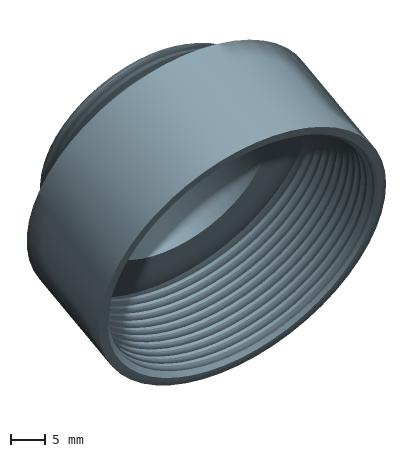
import cadquery as cq

total_length = 27.5
neck_length = 8.0
flange_diameter = 50.0

pitch = 1.6
thread_crest_width = 0.1
root_overlap = 0.1

male_root_diameter = 35.3
male_crest_diameter = 36.9
male_base_width = 1.0
male_thread_end = 5.55
male_phase = 0.7
nose_radius = 17.35

bore_diameter = 31.8
bore_chamfer = 0.4
socket_start = 10.0
socket_diameter = 45.5
mouth_chamfer = 0.8
female_crest_diameter = 47.1
female_base_width = 1.1
female_phase = 10.85


def cylinder(diameter, start, end):
    """Cylinder on the X axis between two X positions."""
    return cq.Workplane("YZ", origin=(start, 0, 0)).circle(diameter / 2).extrude(end - start)


def lead_in(hole_diameter, face_x, depth):
    """45 degree cone that opens a hole where it meets the face at face_x; positive depth runs along +X."""
    hole_radius = hole_diameter / 2
    return (
        cq.Workplane("XY")
        .polyline([
            (face_x, 0),
            (face_x, hole_radius + abs(depth)),
            (face_x + depth, hole_radius),
            (face_x + depth, 0),
        ])
        .close()
        .revolve(360, (0, 0, 0), (1, 0, 0))
    )


def helical_ridge(root_diameter, crest_diameter, base_width, start, turns):
    """Right-handed thread ridge around X, starting on the +Y side."""
    root = root_diameter / 2
    crest = crest_diameter / 2
    flank_run = (base_width - thread_crest_width) / 2
    sunk_half = base_width / 2 + flank_run * root_overlap / (crest - root)
    crest_half = thread_crest_width / 2
    path = cq.Wire.makeHelix(pitch, pitch * turns, root)
    ridge = (
        cq.Workplane("XZ")
        .polyline([
            (root - root_overlap, -sunk_half),
            (crest, -crest_half),
            (crest, crest_half),
            (root - root_overlap, sunk_half),
        ])
        .close()
        .sweep(cq.Workplane(path), isFrenet=True)
    )
    return ridge.rotate((0, 0, 0), (1, 1, 1), 120).translate((start, 0, 0))


def nose_envelope():
    """Region left on the neck by the 45 degree nose cone."""
    outer_radius = flange_diameter / 2
    return (
        cq.Workplane("XY")
        .polyline([
            (0, 0),
            (0, nose_radius),
            (outer_radius - nose_radius, outer_radius),
            (neck_length, outer_radius),
            (neck_length, 0),
        ])
        .close()
        .revolve(360, (0, 0, 0), (1, 0, 0))
    )


male_turns = 5
male_thread = helical_ridge(
    male_root_diameter, male_crest_diameter, male_base_width, male_phase - pitch, male_turns
)
male_thread = male_thread.intersect(cylinder(flange_diameter, -pitch, male_thread_end))
neck_overrun = 2 * pitch
neck = cylinder(male_root_diameter, -neck_overrun, neck_length)
neck = neck.union(male_thread).intersect(nose_envelope())
flange = cylinder(flange_diameter, neck_length, total_length)
body = neck.union(flange)

bore = cylinder(bore_diameter, 0, total_length)
entry = lead_in(bore_diameter, 0, bore_chamfer)

female_turns = 13
core_overrun = 3 * pitch
groove = helical_ridge(
    socket_diameter, female_crest_diameter, female_base_width, female_phase - pitch, female_turns
)
threaded_core = cylinder(socket_diameter, socket_start - core_overrun, total_length + core_overrun).union(groove)
threaded_socket = threaded_core.intersect(cylinder(flange_diameter, socket_start, total_length))
mouth = lead_in(socket_diameter, total_length, -mouth_chamfer)

result = body.cut(bore).cut(entry).cut(threaded_socket).cut(mouth)